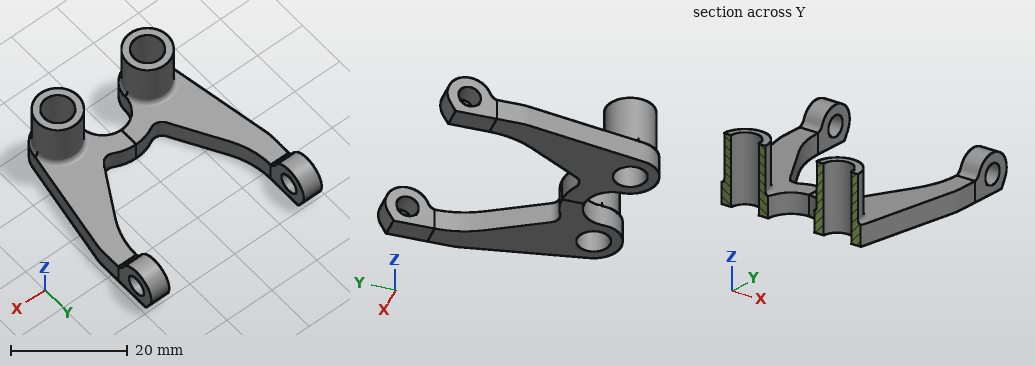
import cadquery as cq
import math

total_width = 38.0
total_length = 41.0
total_height = 13.5

plate_thickness = 4.0
rim_radius = 5.0
sleeve_radius = 4.5
bore_diameter = 6.0
sleeve_fillet = 1.0

lug_radius = 4.0
lug_hole_diameter = 4.0
lug_axis_height = 3.6
lug_fillet = 1.8
lug_reach = 4.88
lug_nose_angle = math.radians(30)

inner_bend_radius = 16.6
inner_edge_angle = math.radians(30)
outer_bend_radius = 10.0
outer_edge_angle = math.radians(10.1)

half_width = total_width / 2
inner_face_x = half_width - plate_thickness
sleeve_x = 2 * rim_radius
web_outer_radius = rim_radius + plate_thickness
web_corner_radius = plate_thickness / 2
lug_axis_y = total_length - rim_radius - lug_radius

lug_end_y = lug_axis_y - lug_reach


def point_on_circle(center, radius, angle):
    return (center[0] + radius * math.cos(angle), center[1] + radius * math.sin(angle))


def arm_plate(height):
    """Flat right-hand arm, from the middle plane X = 0 to the end face of the lug."""
    foot = (sleeve_x, 0)

    foot_tangent = point_on_circle(foot, rim_radius, -outer_edge_angle)
    outer_corner_y = foot_tangent[1] + (half_width - foot_tangent[0]) / math.tan(outer_edge_angle)
    outer_bend_start_y = outer_corner_y + outer_bend_radius * math.tan(outer_edge_angle / 2)
    outer_bend = (half_width - outer_bend_radius, outer_bend_start_y)

    inner_bend = (inner_face_x - inner_bend_radius, lug_end_y)
    inner_bend_end = point_on_circle(inner_bend, inner_bend_radius, -inner_edge_angle)

    along = (-math.sin(inner_edge_angle), -math.cos(inner_edge_angle))
    across = (-math.cos(inner_edge_angle), math.sin(inner_edge_angle))
    start_along = inner_bend_end[0] * along[0] + inner_bend_end[1] * along[1]
    corner_across = inner_bend_end[0] * across[0] + inner_bend_end[1] * across[1] + web_corner_radius
    corner_along = -math.sqrt((web_outer_radius + web_corner_radius) ** 2 - corner_across ** 2)
    run = corner_along - start_along
    slant_end = (inner_bend_end[0] + run * along[0], inner_bend_end[1] + run * along[1])
    corner = (slant_end[0] + web_corner_radius * across[0], slant_end[1] + web_corner_radius * across[1])
    web_angle = math.atan2(corner[1], corner[0])
    web_start = point_on_circle((0, 0), web_outer_radius, web_angle)
    corner_mid_angle = (web_angle - math.pi - inner_edge_angle) / 2

    return (
        cq.Workplane("XY")
        .moveTo(0, rim_radius)
        .threePointArc(point_on_circle((0, 0), rim_radius, math.pi / 4), (rim_radius, 0))
        .threePointArc((sleeve_x, -rim_radius), foot_tangent)
        .lineTo(*point_on_circle(outer_bend, outer_bend_radius, -outer_edge_angle))
        .threePointArc(
            point_on_circle(outer_bend, outer_bend_radius, -outer_edge_angle / 2),
            (half_width, outer_bend_start_y),
        )
        .lineTo(half_width, lug_end_y)
        .lineTo(inner_face_x, lug_end_y)
        .threePointArc(
            point_on_circle(inner_bend, inner_bend_radius, -inner_edge_angle / 2), inner_bend_end
        )
        .lineTo(*slant_end)
        .threePointArc(point_on_circle(corner, web_corner_radius, corner_mid_angle), web_start)
        .threePointArc(
            point_on_circle((0, 0), web_outer_radius, (web_angle + math.pi / 2) / 2),
            (0, web_outer_radius),
        )
        .close()
        .extrude(height)
    )


def fillet_ring(width):
    """Concave ring around the right-hand sleeve foot, reaching `width` out over the plate."""
    round_center_r = sleeve_radius + sleeve_fillet
    rise = math.sqrt(sleeve_fillet ** 2 - (sleeve_fillet - width) ** 2)
    top = (sleeve_radius, plate_thickness + rise)
    outer = (sleeve_radius + width, plate_thickness)
    outer_angle = math.atan2(-rise, width - sleeve_fillet) % (2 * math.pi)
    middle = point_on_circle((round_center_r, top[1]), sleeve_fillet, (math.pi + outer_angle) / 2)
    return (
        cq.Workplane("XZ")
        .moveTo(sleeve_radius, plate_thickness)
        .lineTo(*top)
        .threePointArc(middle, outer)
        .close()
        .revolve(360, (0, 0, 0), (0, 1, 0))
        .translate((sleeve_x, 0, 0))
    )


def sleeve_foot_fillet():
    """Full-width fillet on the plate behind the sleeve, narrowed to the rim of the foot in front."""
    rim_fillet = fillet_ring(rim_radius - sleeve_radius)
    behind_sleeve = cq.Workplane("XY").box(
        total_width, total_length, total_height, centered=(True, False, False)
    )
    outline = arm_plate(total_height).intersect(behind_sleeve)
    plate_fillet = fillet_ring(sleeve_fillet).intersect(outline)
    return rim_fillet.union(plate_fillet)


def arm():
    """Right-hand arm with its hollow sleeve."""
    sleeve = cq.Workplane("XY").center(sleeve_x, 0).circle(sleeve_radius).extrude(total_height)
    bore = cq.Workplane("XY").center(sleeve_x, 0).circle(bore_diameter / 2).extrude(total_height)
    return arm_plate(plate_thickness).union(sleeve).union(sleeve_foot_fillet()).cut(bore)


def lug():
    """Right-hand lug: pivot eye with a straight nose, filleted to the top edge of its end face."""
    eye = (lug_axis_y, lug_axis_height)

    edge_rise = plate_thickness - lug_axis_height
    edge_distance = math.hypot(lug_reach, edge_rise)
    center_distance = lug_radius + lug_fillet
    edge_angle = math.atan2(edge_rise, -lug_reach)
    lift_angle = math.acos(
        (center_distance ** 2 + edge_distance ** 2 - lug_fillet ** 2) / (2 * center_distance * edge_distance)
    )
    fillet_angle = edge_angle - lift_angle
    fillet_center = point_on_circle(eye, center_distance, fillet_angle)
    fillet_start_angle = math.atan2(plate_thickness - fillet_center[1], lug_end_y - fillet_center[0])
    fillet_mid_angle = (fillet_start_angle + fillet_angle - math.pi) / 2

    nose_tangent = point_on_circle(eye, lug_radius, -lug_nose_angle)
    nose_tip_y = nose_tangent[0] - nose_tangent[1] * math.tan(lug_nose_angle)

    return (
        cq.Workplane("YZ", origin=(inner_face_x, 0, 0))
        .moveTo(lug_end_y, 0)
        .lineTo(lug_end_y, plate_thickness)
        .threePointArc(
            point_on_circle(fillet_center, lug_fillet, fillet_mid_angle),
            point_on_circle(eye, lug_radius, fillet_angle),
        )
        .threePointArc((lug_axis_y, lug_axis_height + lug_radius), nose_tangent)
        .lineTo(nose_tip_y, 0)
        .close()
        .moveTo(*eye)
        .circle(lug_hole_diameter / 2)
        .extrude(plate_thickness)
    )


right_arm = arm()
right_lug = lug()

bodies = []
for right_body in (right_arm, right_lug):
    left_body = right_body.mirror("YZ")
    bodies += [right_body.val(), left_body.val()]

result = cq.Compound.makeCompound(bodies)